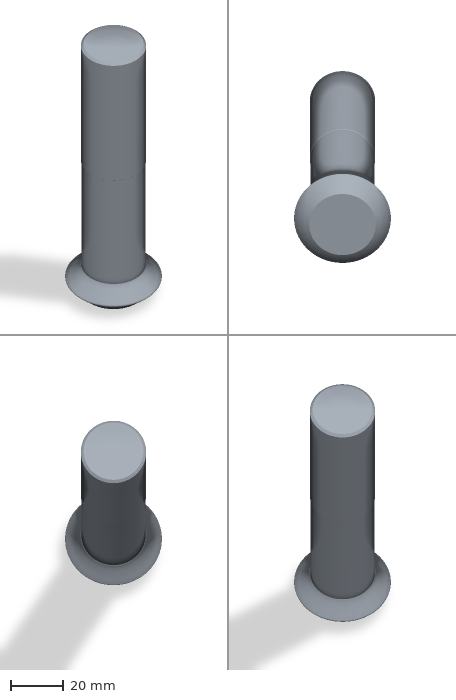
import cadquery as cq

total_length = 120.0
shank_diameter = 24.6

head_diameter = 37.0
head_height = 12.0
rim_radius = 0.6

thread_diameter = 25.0
thread_length = 57.1
tip_chamfer_width = 1.1
tip_chamfer_height = 0.8
thread_start = total_length - thread_length
runout_chamfer = (thread_diameter - shank_diameter) / 2


def make_headed_shank():
    """Double-cone head with the plain shank, up to the start of the thread."""
    head_radius = head_diameter / 2
    shank_radius = shank_diameter / 2
    rim_height = head_height / 2

    apex_radius = head_radius + rim_radius * (2 ** 0.5 - 1)
    face_radius = apex_radius - rim_height
    head = (
        cq.Workplane("XZ")
        .polyline([
            (0, 0),
            (face_radius, 0),
            (apex_radius, rim_height),
            (face_radius, head_height),
            (0, head_height),
        ])
        .close()
        .revolve(360, (0, 0), (0, 1))
        .edges(cq.selectors.RadiusNthSelector(-1))
        .fillet(rim_radius)
    )
    shank = (
        cq.Workplane("XY", origin=(0, 0, head_height))
        .circle(shank_radius)
        .extrude(thread_start - head_height)
    )
    return head.union(shank)


def make_threaded_end():
    """Cylinder on the end of the shank, chamfered at the tip and where it meets the shank."""
    thread_radius = thread_diameter / 2
    outline = [
        (0, thread_start),
        (shank_diameter / 2, thread_start),
        (thread_radius, thread_start + runout_chamfer),
        (thread_radius, total_length - tip_chamfer_height),
        (thread_radius - tip_chamfer_width, total_length),
        (0, total_length),
    ]
    return cq.Workplane("XZ").polyline(outline).close().revolve(360, (0, 0), (0, 1))


headed_shank = make_headed_shank()
threaded_end = make_threaded_end()

result = cq.Compound.makeCompound([headed_shank.val(), threaded_end.val()])